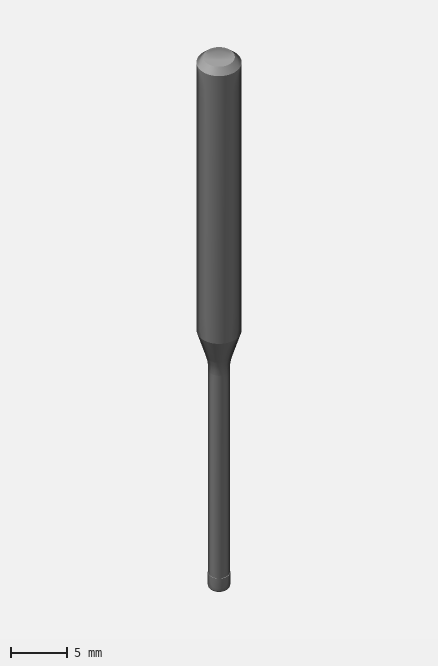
import cadquery as cq
import math

TOTAL_LENGTH = 60.0
SHANK_RADIUS = 4.0 / 2
SHANK_CHAMFER = 0.6
SHANK_BOTTOM_Z = 29.05
NECK_RADIUS = 0.95
NECK_TOP_Z = 24.6
TAPER_ANGLE = math.radians(16)
FLARE_RADIUS = 6.0

HEAD_RADIUS = SHANK_RADIUS / 2
HEAD_LENGTH = 1.6
HEAD_CORNER_RADIUS = 0.25


def flare_point(angle):
    """Radius and height on the concave blend, at a given slope from the axis."""
    return (
        NECK_RADIUS + FLARE_RADIUS * (1 - math.cos(angle)),
        NECK_TOP_Z + FLARE_RADIUS * math.sin(angle),
    )


def make_shank():
    """Chamfered shank that tapers and blends into a straight neck."""
    profile = (
        cq.Workplane("XZ")
        .moveTo(0, HEAD_LENGTH)
        .lineTo(NECK_RADIUS, HEAD_LENGTH)
        .lineTo(NECK_RADIUS, NECK_TOP_Z)
        .threePointArc(flare_point(TAPER_ANGLE / 2), flare_point(TAPER_ANGLE))
        .lineTo(SHANK_RADIUS, SHANK_BOTTOM_Z)
        .lineTo(SHANK_RADIUS, TOTAL_LENGTH)
        .lineTo(0, TOTAL_LENGTH)
        .close()
    )
    return profile.revolve(360, (0, 0), (0, 1)).faces(">Z").chamfer(SHANK_CHAMFER)


def make_cutting_head():
    """Short cylindrical cutting head with a rounded bottom corner."""
    return (
        cq.Workplane("XY")
        .circle(HEAD_RADIUS)
        .extrude(HEAD_LENGTH)
        .faces("<Z")
        .edges()
        .fillet(HEAD_CORNER_RADIUS)
    )


shank = make_shank()
cutting_head = make_cutting_head()

result = cq.Compound.makeCompound([shank.val(), cutting_head.val()])